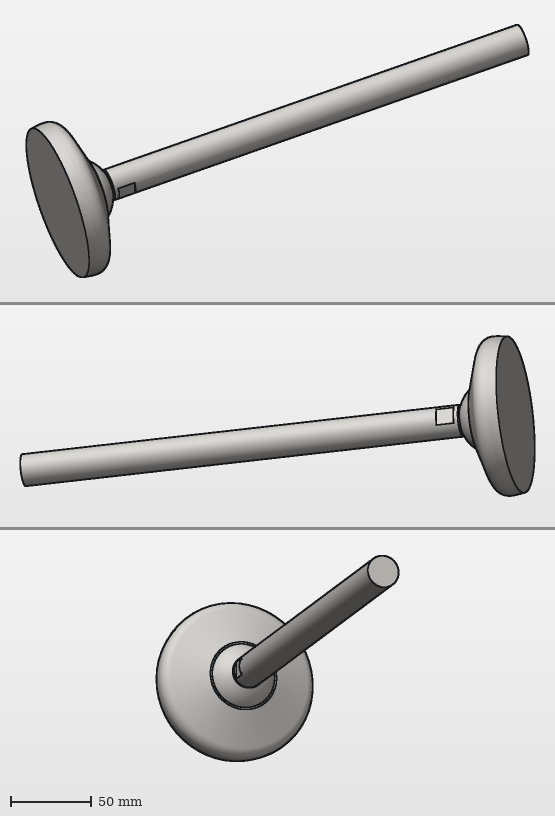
import cadquery as cq
import math

total_length = 315.0

pad_diameter = 100.0
underside_inset = 1.0
taper_height = 6.3
rim_top = 8.8
shoulder_radius = 8.0
cone_angle = math.radians(20.5)
pad_height = 25.0

rod_diameter = 20.2
ball_radius = 24.5
ball_center_height = 11.0
relief_top = 34.5
relief_depth = 0.3

across_flats = 17.0
flat_start = 37.5
flat_end = 48.5

pad_radius = pad_diameter / 2
rod_radius = rod_diameter / 2
axis_start = (0, 0, 0)
axis_end = (0, 1, 0)


def circle_point(center_radius, center_height, radius, angle):
    """Point at an angle, measured up from the radial direction, on a circle in the profile plane."""
    return (center_radius + radius * math.cos(angle), center_height + radius * math.sin(angle))


def make_half_ball():
    """Upper half of the ball, flat side down."""
    half_ball = (
        cq.Workplane("XY")
        .moveTo(0, ball_center_height)
        .lineTo(ball_radius, ball_center_height)
        .threePointArc(
            circle_point(0, ball_center_height, ball_radius, math.radians(45)),
            (0, ball_center_height + ball_radius),
        )
        .close()
    )
    return half_ball.revolve(360, axis_start, axis_end)


def make_pad():
    """Tapered rim, rounded shoulder tangent to a shallow cone, and a socket for the half-ball."""
    shoulder_center = pad_radius - shoulder_radius
    cone_normal = math.pi / 2 - cone_angle
    shoulder_middle = circle_point(shoulder_center, rim_top, shoulder_radius, cone_normal / 2)
    shoulder_end = circle_point(shoulder_center, rim_top, shoulder_radius, cone_normal)
    cone_top_radius = shoulder_end[0] - (pad_height - shoulder_end[1]) / math.tan(cone_angle)

    profile = (
        cq.Workplane("XY")
        .moveTo(0, 0)
        .lineTo(pad_radius - underside_inset, 0)
        .lineTo(pad_radius, taper_height)
        .lineTo(pad_radius, rim_top)
        .threePointArc(shoulder_middle, shoulder_end)
        .lineTo(cone_top_radius, pad_height)
        .lineTo(0, pad_height)
        .close()
    )
    return profile.revolve(360, axis_start, axis_end).cut(make_half_ball()).solids()


def make_rod():
    """Straight rod with a shallow relief where it meets the ball and two wrench flats."""
    relief_radius = rod_radius - relief_depth
    profile = (
        cq.Workplane("XY")
        .moveTo(0, ball_center_height)
        .lineTo(relief_radius, ball_center_height)
        .lineTo(relief_radius, relief_top)
        .lineTo(rod_radius, relief_top)
        .lineTo(rod_radius, total_length)
        .lineTo(0, total_length)
        .close()
    )
    rod = profile.revolve(360, axis_start, axis_end)

    flat_length = flat_end - flat_start
    flat_center_height = (flat_start + flat_end) / 2
    for side in (-1, 1):
        cutter = cq.Workplane("XY").box(rod_radius, flat_length, rod_diameter)
        cutter_offset = side * (across_flats + rod_radius) / 2
        rod = rod.cut(cutter.translate((cutter_offset, flat_center_height, 0)))
    return rod


def make_spindle():
    """Rod and half-ball in one piece."""
    return make_rod().union(make_half_ball()).solids()


pad = make_pad()
spindle = make_spindle()
result = cq.Compound.makeCompound([pad.val(), spindle.val()])